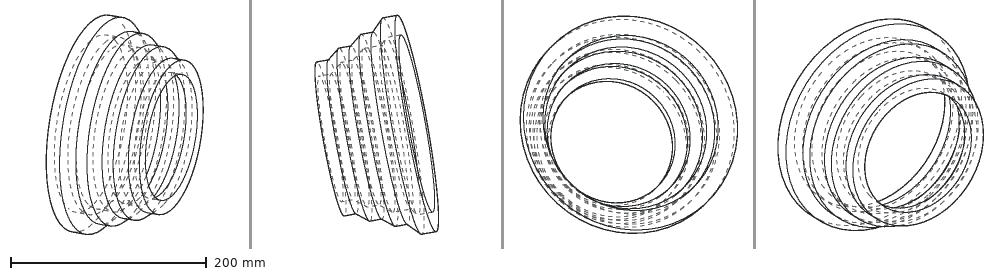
import cadquery as cq

length = 90.0
flange_radius = 112.5
flange_width = 15.0
step_radii = (100.0, 90.0, 80.0)
wall = 14.8
mouth_radius = 92.0
seat_start = 21.4

band_width = (length - flange_width) / (2 * len(step_radii))

outer_points = [(0, flange_radius), (flange_width, flange_radius)]
inner_points = [(0, mouth_radius), (flange_width, mouth_radius)]
for index, radius in enumerate(step_radii):
    cone_end = flange_width + (2 * index + 1) * band_width
    cylinder_end = cone_end + band_width
    outer_points += [(cone_end, radius), (cylinder_end, radius)]
    bore_cone_end = seat_start if index == 0 else cone_end
    inner_points += [(bore_cone_end, radius - wall), (cylinder_end, radius - wall)]

section = cq.Workplane("XY").polyline(outer_points + inner_points[::-1]).close()
result = section.revolve(360, (0, 0, 0), (1, 0, 0))